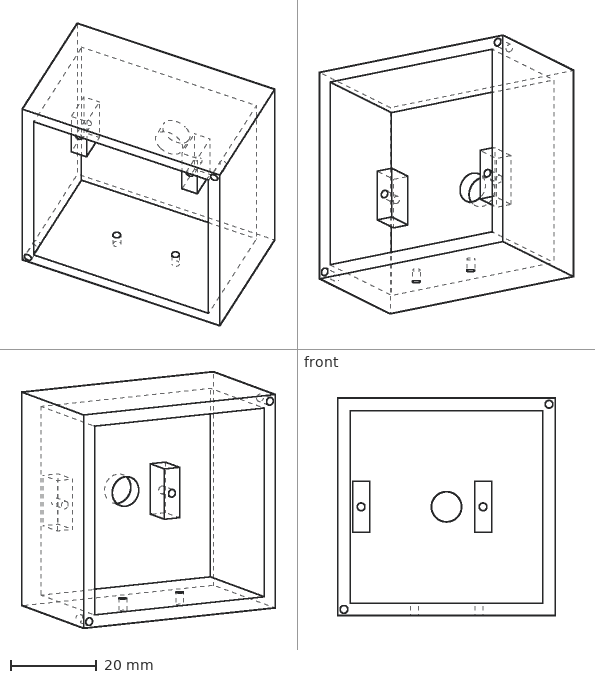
import cadquery as cq

outer_side = 50.9
inner_side = 45.0
box_depth = 30.65
back_wall = 4.0
cavity_depth = box_depth - back_wall
wall = (outer_side - inner_side) / 2

post_width = 4.0
post_height = 12.0
post_length = 7.0
post_spacing = 28.5
post_pair_offset = -5.7

screw_diameter = 1.8
screw_depth = 5.0
cable_diameter = 7.0
floor_hole_spacing = 15.1
floor_hole_setback = 14.0

post_face_y = cavity_depth - post_length
post_centres = [
    (post_pair_offset - post_spacing / 2, 0),
    (post_pair_offset + post_spacing / 2, 0),
]
rim_corner = (outer_side - wall) / 2
rim_hole_centres = [(-rim_corner, -rim_corner), (rim_corner, rim_corner)]


def plane_facing_front(y):
    """XZ plane at depth y; negative extrusions run backward (+Y)."""
    return cq.Workplane("XZ", origin=(0, y, 0))


def bore(centres, start_y, depth, diameter):
    """Cylinders running backward from start_y, one at each (X, Z) centre."""
    return plane_facing_front(start_y).pushPoints(centres).circle(diameter / 2).extrude(-depth)


def box_shell():
    body = plane_facing_front(0).rect(outer_side, outer_side).extrude(-box_depth)
    cavity = plane_facing_front(0).rect(inner_side, inner_side).extrude(-cavity_depth)
    return body.cut(cavity)


def posts():
    return (
        plane_facing_front(post_face_y)
        .pushPoints(post_centres)
        .rect(post_width, post_height)
        .extrude(-(box_depth - post_face_y))
    )


def floor_holes():
    """Two vertical holes through the bottom wall."""
    return (
        cq.Workplane("XY", origin=(0, floor_hole_setback, -outer_side / 2))
        .pushPoints([(-floor_hole_spacing / 2, 0), (floor_hole_spacing / 2, 0)])
        .circle(screw_diameter / 2)
        .extrude(wall)
    )


result = box_shell().union(posts())
result = result.cut(bore(post_centres, post_face_y, screw_depth, screw_diameter))
result = result.cut(bore(rim_hole_centres, 0, screw_depth, screw_diameter))
result = result.cut(bore([(0, 0)], cavity_depth, back_wall, cable_diameter))
result = result.cut(floor_holes())